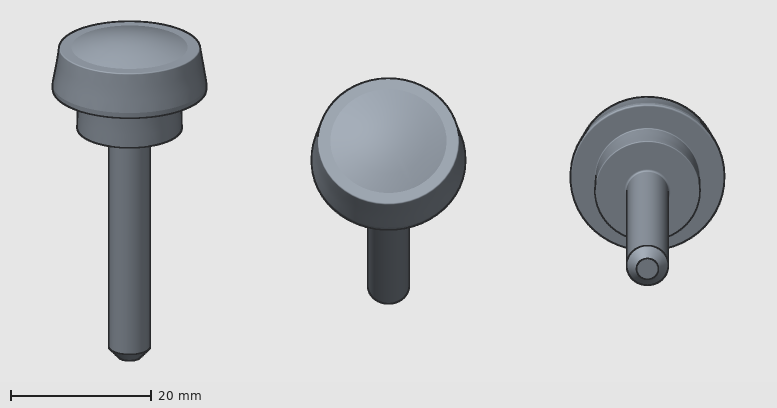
import cadquery as cq

total_height = 49.0
rim_height = 47.6
head_taper_bottom = 41.9
head_bottom = 41.0
collar_bottom = 35.1
tip_height = 1.55

head_radius = 22.0 / 2
rim_radius = 10.1
dome_radius = 8.3
collar_radius = 7.5
collar_top_radius = 7.4
shank_radius = 6.0 / 2
tip_radius = 1.55

rim_round = 0.2
head_edge_round = 0.25
collar_edge_round = 0.15
collar_fillet = 0.15
shank_fillet = 0.3

dome_rise = total_height - rim_height
dome_sphere_radius = (dome_radius**2 + dome_rise**2) / (2 * dome_rise)

half_section = (
    cq.Workplane("XZ")
    .moveTo(0, 0)
    .lineTo(tip_radius, 0)
    .lineTo(shank_radius, tip_height)
    .lineTo(shank_radius, collar_bottom - shank_fillet)
    .radiusArc((shank_radius + shank_fillet, collar_bottom), shank_fillet)
    .lineTo(collar_radius - collar_edge_round, collar_bottom)
    .radiusArc((collar_radius, collar_bottom + collar_edge_round), -collar_edge_round)
    .lineTo(collar_top_radius, head_bottom - collar_fillet)
    .radiusArc((collar_top_radius + collar_fillet, head_bottom), collar_fillet)
    .lineTo(head_radius - head_edge_round, head_bottom)
    .radiusArc((head_radius, head_bottom + head_edge_round), -head_edge_round)
    .lineTo(head_radius, head_taper_bottom)
    .lineTo(rim_radius, rim_height - rim_round)
    .radiusArc((rim_radius - rim_round, rim_height), -rim_round)
    .lineTo(dome_radius, rim_height)
    .radiusArc((0, total_height), -dome_sphere_radius)
    .close()
)

result = half_section.revolve(360, (0, 0, 0), (0, 1, 0))